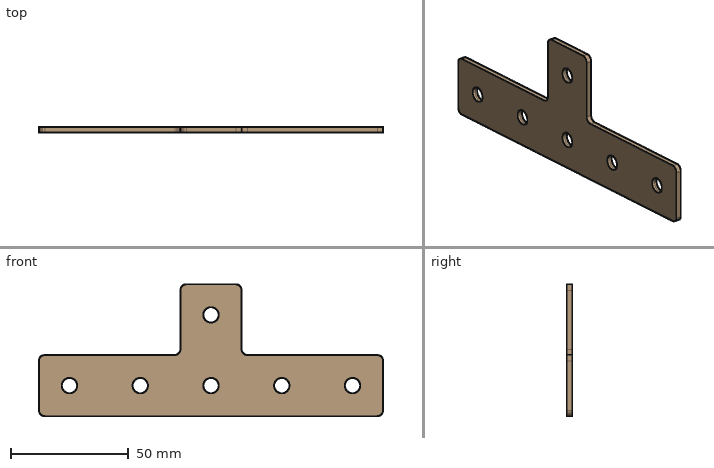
import cadquery as cq

length = 146.0
arm_width = 26.0
thickness = 2.5
hole_diameter = 6.4
corner_radius = 2.5
bar_hole_count = 5

hole_pitch = (length - arm_width) / (bar_hole_count - 1)
height = arm_width + hole_pitch


def plate_blank():
    """T outline standing in the XZ plane, bar centred on the origin, all corners rounded."""
    bar = cq.Workplane("XY").box(length, thickness, arm_width)
    stem = (
        cq.Workplane("XY")
        .box(arm_width, thickness, height)
        .translate((0, 0, (height - arm_width) / 2))
    )
    return bar.union(stem).clean().edges("|Y").fillet(corner_radius)


def hole_cutter(x, z):
    """Cylinder through the plate thickness at the given place."""
    return (
        cq.Workplane("XZ")
        .center(x, z)
        .circle(hole_diameter / 2)
        .extrude(thickness, both=True)
    )


first_hole_x = -hole_pitch * (bar_hole_count - 1) / 2
hole_places = [(first_hole_x + i * hole_pitch, 0) for i in range(bar_hole_count)]
hole_places.append((0, hole_pitch))

result = plate_blank()
for hole_x, hole_z in hole_places:
    result = result.cut(hole_cutter(hole_x, hole_z))